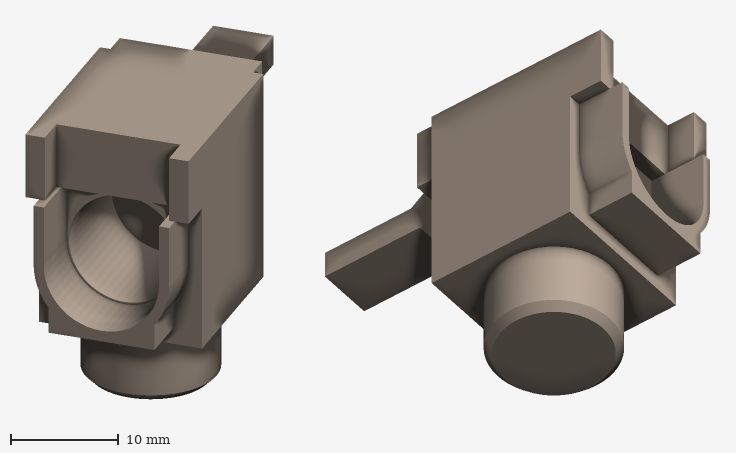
import cadquery as cq

body_width = 16.2
body_front = 5.05
body_back = 21.25
body_bottom = 7.52
body_top = 28.5

overhang_front = 1.45
overhang_bottom = 22.05
notch_width = 12.35
notch_back = 4.5

bore_height = 15.98
collar_outer_radius = 6.73
collar_inner_radius = 5.7
channel_back = 6.05
collar_base_width = 10.53
collar_base_bottom = 9.17
bore_radius = 5.5
bore_depth = 11.28

plug_radius = 6.55
plug_center_y = 13.12
plug_chamfer = 0.8

plate_width = 14.15
plate_thickness = 2.5
plate_bottom = 21.75
tab_width = 6.0
tab_end = 37.6
tab_thickness = 2.97
tab_drop = 1.8
tab_root_top = 25.95
bend_top_start = 25.08
bend_top_end = 27.55
bend_bottom_end = 26.5

plate_back = body_back + plate_thickness


def block(width, front, back, bottom, top):
    """Box centred on X between the given Y and Z limits."""
    box = cq.Workplane("XY").box(width, back - front, top - bottom, centered=(True, False, False))
    return box.translate((0, front, bottom))


def u_shape(radius, front, back):
    """Channel shape with a half-round bottom, ending level with the overhang."""
    return (
        cq.Workplane("XZ", origin=(0, front, 0))
        .moveTo(-radius, overhang_bottom)
        .lineTo(-radius, bore_height)
        .threePointArc((0, bore_height - radius), (radius, bore_height))
        .lineTo(radius, overhang_bottom)
        .close()
        .extrude(front - back)
    )


def make_body():
    main = block(body_width, body_front, body_back, body_bottom, body_top)
    overhang = block(body_width, overhang_front, body_front, overhang_bottom, body_top)
    notch = block(notch_width, overhang_front, notch_back, overhang_bottom, body_top)
    return main.union(overhang.cut(notch))


def make_collar():
    base = block(collar_base_width, 0, body_front, collar_base_bottom, bore_height)
    outer = u_shape(collar_outer_radius, 0, body_front)
    return outer.union(base)


def make_bore():
    """Blind round bore running back from the end of the channel."""
    return cq.Workplane("XZ", origin=(0, channel_back, bore_height)).circle(bore_radius).extrude(-bore_depth)


def make_plug():
    return (
        cq.Workplane("XY")
        .center(0, plug_center_y)
        .circle(plug_radius)
        .extrude(body_bottom)
        .faces("<Z")
        .chamfer(plug_chamfer)
    )


def make_tab():
    end_top = tab_root_top - tab_drop
    end_bottom = end_top - tab_thickness
    slope = tab_drop / (bend_top_end - bend_top_start)
    root_bottom = end_bottom + slope * (bend_bottom_end - plate_back)
    profile = [
        (body_back, tab_root_top),
        (bend_top_start, tab_root_top),
        (bend_top_end, end_top),
        (tab_end, end_top),
        (tab_end, end_bottom),
        (bend_bottom_end, end_bottom),
        (plate_back, root_bottom),
        (body_back, root_bottom),
    ]
    return cq.Workplane("YZ").polyline(profile).close().extrude(tab_width / 2, both=True)


plate = block(plate_width, body_back, plate_back, plate_bottom, body_top)
channel = u_shape(collar_inner_radius, 0, channel_back)

result = (
    make_body()
    .union(make_collar())
    .union(make_plug())
    .union(plate)
    .union(make_tab())
    .cut(channel)
    .cut(make_bore())
)